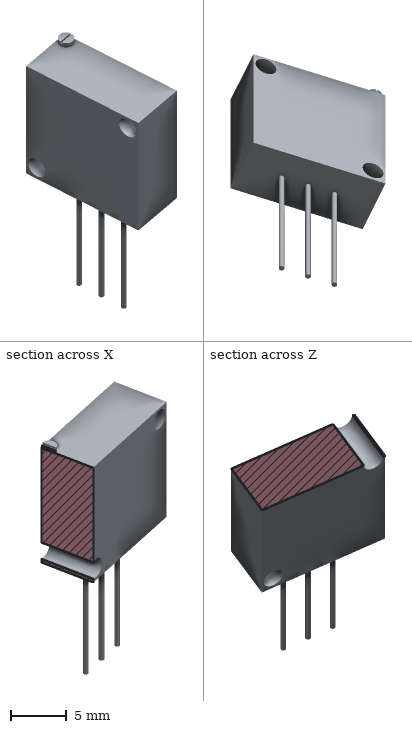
import cadquery as cq

side = 12.7
depth = 5.6
half_side = side / 2
half_depth = depth / 2

mount_hole_diameter = 2.0
mount_hole_edge_x = 1.2
mount_hole_top_edge = 1.2
mount_hole_bottom_edge = 1.3

overall_height = 26.2
screw_diameter = 1.5
screw_height = 0.5
screw_edge = 0.8
slot_width = 0.15
slot_depth = 0.2

pin_count = 3
pin_diameter = 0.5
pin_pitch = 2.55
pin_length = overall_height - side - screw_height


def make_housing():
    block = cq.Workplane("XY").box(side, depth, side, centered=(True, True, False))
    hole_x = half_side - mount_hole_edge_x
    hole_places = [
        (hole_x, side - mount_hole_top_edge),
        (-hole_x, mount_hole_bottom_edge),
    ]
    holes = (
        cq.Workplane("XZ")
        .pushPoints(hole_places)
        .circle(mount_hole_diameter / 2)
        .extrude(half_depth, both=True)
    )
    return block.cut(holes)


def make_screw():
    head = cq.Workplane("XY").circle(screw_diameter / 2).extrude(screw_height)
    slot = (
        cq.Workplane("XY")
        .workplane(offset=screw_height - slot_depth)
        .rect(slot_width, screw_diameter * 2)
        .extrude(slot_depth)
    )
    return head.cut(slot).translate((screw_edge - half_side, half_depth - screw_edge, side))


def make_pin(x):
    return cq.Workplane("XY").circle(pin_diameter / 2).extrude(-pin_length).translate((x, 0, 0))


housing = make_housing()
screw = make_screw()
pins = []
for index in range(pin_count):
    pin_x = (index - (pin_count - 1) / 2) * pin_pitch
    pins.append(make_pin(pin_x).val())

result = cq.Compound.makeCompound([housing.val(), screw.val(), *pins])